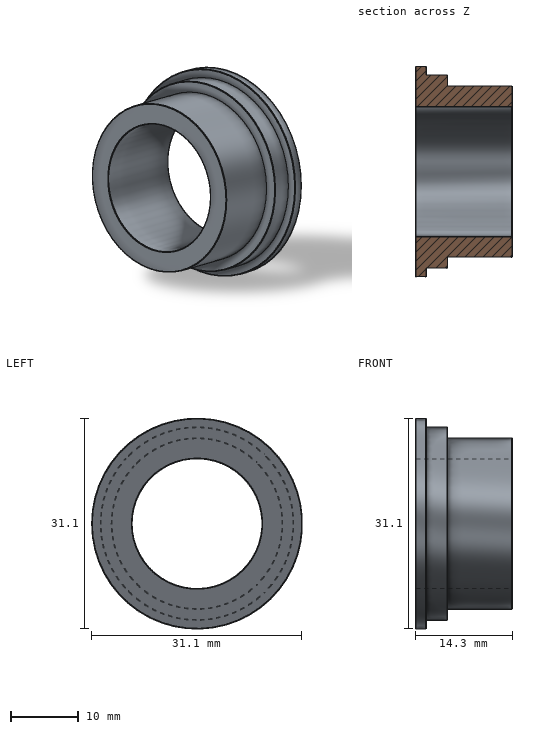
import cadquery as cq

length = 14.28
flange_diameter = 31.1
flange_thickness = 1.6
shoulder_diameter = 28.55
shoulder_thickness = 3.15
barrel_diameter = 25.32
bore_diameter = 19.15
edge_chamfer = 0.1

shoulder_end = flange_thickness + shoulder_thickness


def disc(start, end, diameter):
    """Cylinder along X from start to end, with both rims chamfered."""
    blank = cq.Workplane("YZ", origin=(start, 0, 0)).circle(diameter / 2).extrude(end - start)
    return blank.edges("%CIRCLE").chamfer(edge_chamfer)


flange = disc(0, flange_thickness, flange_diameter)
shoulder = disc(flange_thickness / 2, shoulder_end, shoulder_diameter)
barrel = disc(flange_thickness / 2, length, barrel_diameter)
body = flange.union(shoulder).union(barrel)

bore = cq.Workplane("YZ").circle(bore_diameter / 2).extrude(length)
bored = body.cut(bore)
bore_mouths = bored.edges(cq.selectors.RadiusNthSelector(0))
result = bore_mouths.chamfer(edge_chamfer)